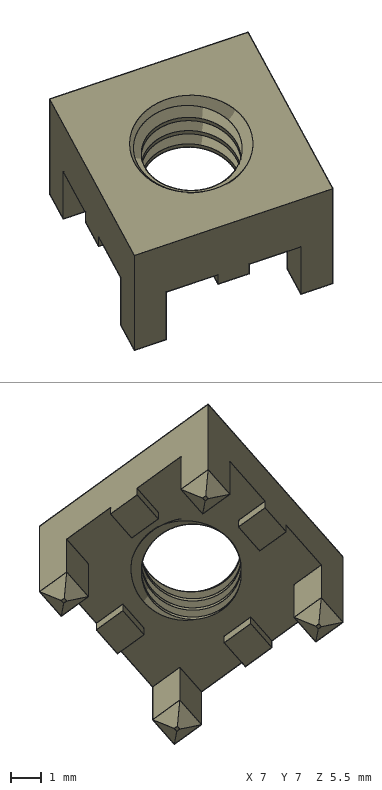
import cadquery as cq

side = 7.0
body_height = 2.5
leg_side = 1.13
leg_length = 3.0
tip_chamfer = 0.5
tab_side = 1.1
tab_height = 0.5

major_diameter = 4.0
minor_diameter = 3.24
pitch = 0.7
crest_width = pitch / 4
root_width = pitch / 8
groove_start_angle = 168.0

major_radius = major_diameter / 2
minor_radius = minor_diameter / 2

overrun = 0.2
groove_overlap = 0.05


def make_body():
    """Square block with its top face at Z = 0."""
    return cq.Workplane("XY").rect(side, side).extrude(-body_height)


def make_leg(x_sign, y_sign):
    """Square corner leg ending in a blunt pyramid."""
    offset = (side - leg_side) / 2
    leg = (
        cq.Workplane("XY", origin=(x_sign * offset, y_sign * offset, -body_height))
        .rect(leg_side, leg_side)
        .extrude(-leg_length)
    )
    return leg.faces("<Z").chamfer(tip_chamfer)


def make_tab(angle):
    """Short standoff tab flush with the middle of one side."""
    tab = (
        cq.Workplane("XY", origin=((side - tab_side) / 2, 0, -body_height))
        .rect(tab_side, tab_side)
        .extrude(-tab_height)
    )
    return tab.rotate((0, 0, 0), (0, 0, 1), angle)


def make_bore():
    """Through bore at the minor diameter, running past both faces of the block."""
    return (
        cq.Workplane("XY", origin=(0, 0, overrun))
        .circle(minor_radius)
        .extrude(-(body_height + 2 * overrun))
    )


def make_entry_cone():
    """45 degree cone, as wide as the major diameter where it crosses the top face."""
    top_radius = major_radius + overrun
    tip_radius = minor_radius - overrun
    tip_z = tip_radius - major_radius
    return (
        cq.Workplane("XZ")
        .polyline([(0, overrun), (top_radius, overrun), (tip_radius, tip_z), (0, tip_z)])
        .close()
        .revolve(360, (0, 0), (0, 1))
    )


def make_thread_groove():
    """Right-hand helical V groove running past both ends of the bore."""
    start_z = -body_height - pitch
    helix_height = body_height + 2 * pitch
    flank_slope = (pitch - crest_width - root_width) / 2 / (major_radius - minor_radius)
    inner_radius = minor_radius - groove_overlap
    inner_half = (pitch - crest_width) / 2 + groove_overlap * flank_slope
    root_half = root_width / 2
    helix = cq.Wire.makeHelix(pitch, helix_height, minor_radius)
    groove = (
        cq.Workplane("XZ")
        .polyline([
            (inner_radius, -inner_half),
            (major_radius, -root_half),
            (major_radius, root_half),
            (inner_radius, inner_half),
        ])
        .close()
        .sweep(cq.Workplane(obj=helix), isFrenet=True)
    )
    return groove.rotate((0, 0, 0), (0, 0, 1), groove_start_angle).translate((0, 0, start_z))


part = make_body()
for x_sign in (-1, 1):
    for y_sign in (-1, 1):
        part = part.union(make_leg(x_sign, y_sign))
for angle in (0, 90, 180, 270):
    part = part.union(make_tab(angle))

result = part.cut(make_thread_groove()).cut(make_bore()).cut(make_entry_cone())